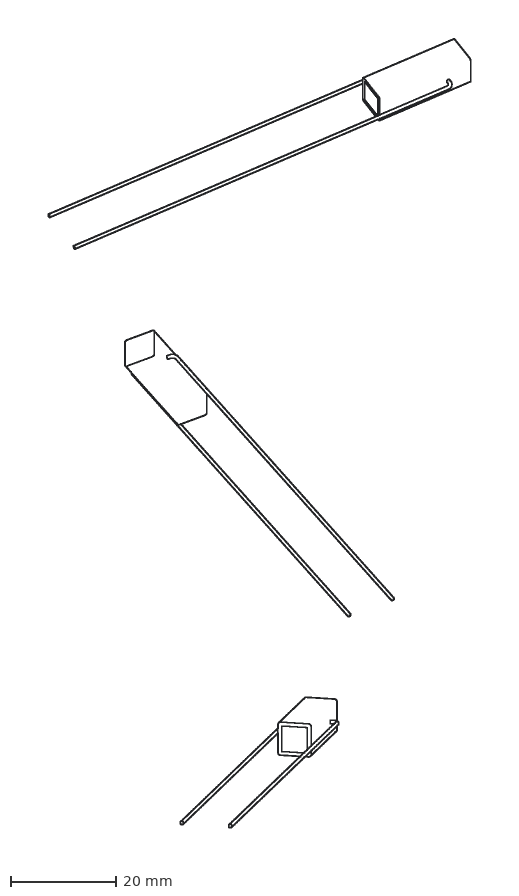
import cadquery as cq

body_side = 6.5
body_length = 20.0
edge_radius = 0.5

wall_thickness = 0.75
filling_setback = 0.01

overall_length = 88.13
overall_width = 10.2
lead_diameter = 0.7
bend_radius = 1.0
lead_root_from_back = 5.0
lead_embedment = 0.5

body_back_y = body_length / 2
body_front_y = -body_length / 2
lead_root_x = body_side / 2 - lead_embedment
lead_root_y = body_back_y - lead_root_from_back
lead_tip_y = body_back_y - overall_length
lead_axis_x = (overall_width - lead_diameter) / 2


def make_body():
    """Square bar with rounded long edges and a shallow square recess in the front end."""
    bar = cq.Workplane("XY").box(body_side, body_length, body_side)
    bar = bar.edges("|Y").fillet(edge_radius)
    opening_side = body_side - 2 * wall_thickness
    recess = (
        cq.Workplane("XY")
        .box(opening_side, filling_setback, opening_side)
        .translate((0, body_front_y + filling_setback / 2, 0))
    )
    return bar.cut(recess)


def make_lead():
    """Lead on the +X side: out of the body, round a quarter bend, then straight to -Y."""
    bend_start_x = lead_axis_x - bend_radius
    bend_end_y = lead_root_y - bend_radius
    path = (
        cq.Workplane("XY")
        .moveTo(lead_root_x, lead_root_y)
        .lineTo(bend_start_x, lead_root_y)
        .radiusArc((lead_axis_x, bend_end_y), bend_radius)
        .lineTo(lead_axis_x, lead_tip_y)
    )
    section = cq.Workplane("YZ", origin=(lead_root_x, lead_root_y, 0)).circle(lead_diameter / 2)
    return section.sweep(path)


right_lead = make_lead()
left_lead = right_lead.mirror("YZ")
result = make_body().union(right_lead).union(left_lead)